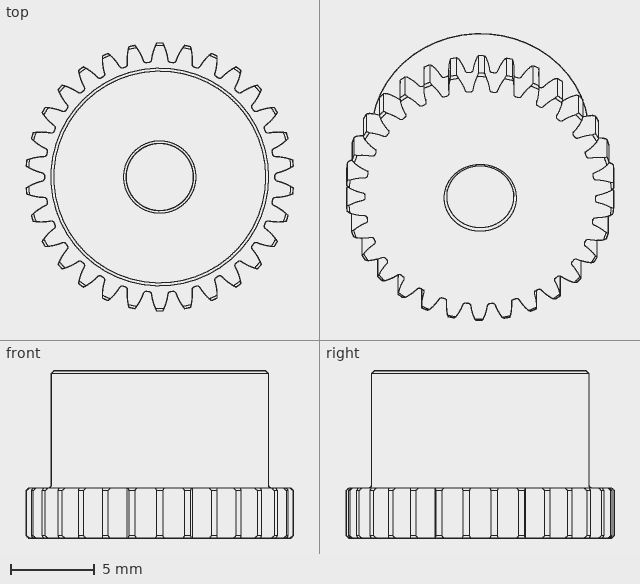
import cadquery as cq
import math


tooth_count = 30
tip_diameter = 16.0
module = tip_diameter / (tooth_count + 2)
dedendum_factor = 1.25
tip_radius = tip_diameter / 2
pitch_radius = module * tooth_count / 2
root_radius = pitch_radius - dedendum_factor * module

tip_thickness = 0.37
pitch_thickness = 0.78
root_thickness = 1.02
root_fillet = 0.16
tip_chamfer = 0.16

total_height = 10.0
gear_height = 3.0
hub_radius = 6.5
hub_chamfer = 0.18
hub_fillet = 0.16
bore_radius = 2.0
bore_chamfer = 0.16


def polar(radius, angle):
    """Point at a radius, with the angle measured from the +Y axis toward +X."""
    return radius * math.sin(angle), radius * math.cos(angle)


def gap_half_angle(radius, tooth_thickness):
    """Half of the angle left between two teeth of a given thickness at a radius."""
    return math.pi / tooth_count - tooth_thickness / (2 * radius)


def make_blank():
    """Toothless gear and hub, turned around Z, with the bore and edge breaks."""
    fillet_middle = hub_fillet * (1 - math.sqrt(0.5))
    return (
        cq.Workplane("XZ")
        .moveTo(bore_radius + bore_chamfer, 0)
        .lineTo(tip_radius - tip_chamfer, 0)
        .lineTo(tip_radius, tip_chamfer)
        .lineTo(tip_radius, gear_height - tip_chamfer)
        .lineTo(tip_radius - tip_chamfer, gear_height)
        .lineTo(hub_radius + hub_fillet, gear_height)
        .threePointArc(
            (hub_radius + fillet_middle, gear_height + fillet_middle),
            (hub_radius, gear_height + hub_fillet),
        )
        .lineTo(hub_radius, total_height - hub_chamfer)
        .lineTo(hub_radius - hub_chamfer, total_height)
        .lineTo(bore_radius + bore_chamfer, total_height)
        .lineTo(bore_radius, total_height - bore_chamfer)
        .lineTo(bore_radius, bore_chamfer)
        .close()
        .revolve(360, (0, 0), (0, 1))
    )


def make_gap_cutter():
    """Space between two teeth, centred on +Y: arc flanks and a filleted arc floor."""
    root_angle = gap_half_angle(root_radius, root_thickness)
    pitch_angle = gap_half_angle(pitch_radius, pitch_thickness)
    tip_angle = gap_half_angle(tip_radius, tip_thickness)
    outer_radius = tip_radius + module

    cutter = (
        cq.Workplane("XY")
        .moveTo(*polar(root_radius, root_angle))
        .threePointArc(polar(pitch_radius, pitch_angle), polar(tip_radius, tip_angle))
        .lineTo(*polar(outer_radius, tip_angle))
        .lineTo(*polar(outer_radius, -tip_angle))
        .lineTo(*polar(tip_radius, -tip_angle))
        .threePointArc(polar(pitch_radius, -pitch_angle), polar(root_radius, -root_angle))
        .threePointArc(polar(root_radius, 0), polar(root_radius, root_angle))
        .close()
        .extrude(gear_height)
    )
    below_pitch_circle = cq.selectors.BoxSelector(
        (-tip_radius, 0, 0),
        (tip_radius, pitch_radius, gear_height),
    )
    return cutter.edges("|Z").edges(below_pitch_circle).fillet(root_fillet)


result = make_blank()
gap_cutter = make_gap_cutter()
tooth_pitch_angle = 360 / tooth_count
for index in range(tooth_count):
    gap_angle = (index + 0.5) * tooth_pitch_angle
    result = result.cut(gap_cutter.rotate((0, 0, 0), (0, 0, 1), gap_angle))